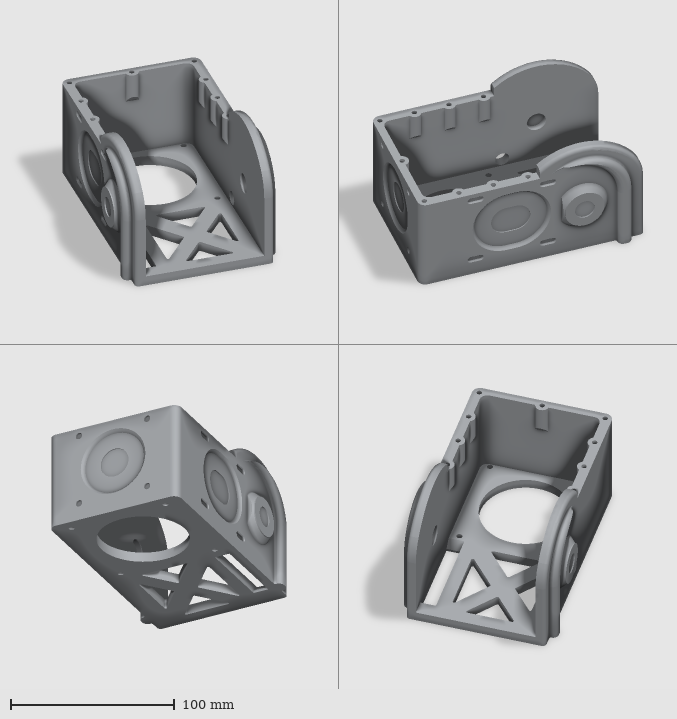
import cadquery as cq
import math

LENGTH = 145.16
WIDTH = 88.9
BOX_HEIGHT = 63.5
SIDE_WALL = 6.35
END_WALL = 5.08
FLOOR = 6.35
OUTER_CORNER_RADIUS = 5.08
INNER_CORNER_RADIUS = 4.8
OUTER_Y = WIDTH / 2
INNER_Y = OUTER_Y - SIDE_WALL
BEVEL_ANGLE = 45

AXLE_X = 105.1
AXLE_Z = 34.925
WING_START_X = 77.7
WING_RADIUS = 44.45
WING_CORNER_RADIUS = 25.4
WING_EDGE_ROUND = 2.54

RELIEF = 4.76
RIB_ROOT_RADIUS = 1.27
RIB_CREST_RADIUS = RELIEF - RIB_ROOT_RADIUS
RIB_OUTER_X = 136.25
RIB_OUTER_RADIUS = 29.75
RIB_OUTER_CENTRE_Z = 42.1
RIB_INNER_X = 127.3
RIB_INNER_RADIUS = 28.8
RIB_INNER_CENTRE_Z = 40.6
BOSS_TIP_RADIUS = 12.7
BOSS_TAPER = 4.0
BOSS_FLAT_X = 91.7
AXLE_HOLE_RADIUS = 6.35
AXLE_OUTER_DEPTH = 0.8
AXLE_INNER_DEPTH = 3.6
AXLE_INNER_CHAMFER = 0.4

SEAT_RADIUS = 22.225
SEAT_DEPTH = 2.1
SEAT_X = 59.5
SEAT_TRAVEL = 6.35
PILOT_RADIUS = 9.525
PILOT_DEPTH = 0.7
FASTENER_OFFSET = 23.45
FASTENER_DIAMETER = 4.3
FASTENER_DEPTH = 1.5
SLOT_CHAMFER = 0.5
ACCESS_DIAMETER = 9.0

SCREW_DIAMETER = 3.3
SCREW_DEPTH = 12.7
SCREW_START_X = 4.3
SCREW_PITCH = 22.4
SCREWS_PER_SIDE = 4
SCREW_Y = 40.1
POST_RADIUS = 4.3
POST_LENGTH = 15.4
POST_TAPER_DROP = 1.3

BORE_X = 39.7
BORE_DIAMETER = 57.15
FLOOR_HOLE_OFFSET = 32.35
FLOOR_HOLE_DIAMETER = 3.7
TRUSS_LEFT = 79.1
TRUSS_RIGHT = 136.2
TRUSS_BOTTOM = -19.4
TRUSS_TOP = 29.0
TRUSS_CORNER_RADIUS = 0.9
FALLING_BAR_WIDTH = 10.3
FALLING_BAR_START_Y = 29.3
FALLING_BAR_END_Y = -16.4
RISING_BAR_WIDTH = 12.2
RISING_BAR_START_Y = -18.6
RISING_BAR_END_Y = 30.4
BELT_SLOT_LEFT = 75.6
BELT_SLOT_RIGHT = 135.8
BELT_SLOT_WIDTH = 10.0
BELT_SLOT_SLOPE = 4.75


def block(x0, x1, y0, y1, z0, z1):
    """Axis-aligned box between two opposite corners."""
    return cq.Workplane("XY").box(x1 - x0, y1 - y0, z1 - z0, centered=False).translate((x0, y0, z0))


def side_plane(y):
    """Sketch plane at the given Y, local axes X and Z, normal toward -Y."""
    return cq.Workplane("XZ", origin=(0, y, 0))


def end_plane(x):
    """Sketch plane at the given X, local axes Y and Z, normal toward +X."""
    return cq.Workplane("YZ", origin=(x, 0, 0))


def mirrored(shape):
    """Copy on the opposite side wall."""
    return shape.mirror("XZ")


def box_shell():
    """Floor, closed end wall and two side walls up to the rim, open at the far end."""
    outside = block(0, LENGTH, -OUTER_Y, OUTER_Y, 0, BOX_HEIGHT)
    outside = outside.edges("|Z and <X").fillet(OUTER_CORNER_RADIUS)
    inside = block(END_WALL, LENGTH + END_WALL, -INNER_Y, INNER_Y, FLOOR, BOX_HEIGHT)
    inside = inside.edges("|Z and <X").fillet(INNER_CORNER_RADIUS)
    return outside.cut(inside)


def wing_wall():
    """The -Y side wall's rounded end, with its outer edge rolled over."""
    corner_x = LENGTH - WING_CORNER_RADIUS
    offset_x = corner_x - AXLE_X
    offset_z = math.sqrt((WING_RADIUS - WING_CORNER_RADIUS) ** 2 - offset_x**2)
    corner_z = AXLE_Z + offset_z
    blend_angle = math.atan2(offset_z, offset_x)
    blend = (AXLE_X + WING_RADIUS * math.cos(blend_angle), AXLE_Z + WING_RADIUS * math.sin(blend_angle))
    mid_corner = (
        corner_x + WING_CORNER_RADIUS * math.cos(blend_angle / 2),
        corner_z + WING_CORNER_RADIUS * math.sin(blend_angle / 2),
    )
    start_z = AXLE_Z + math.sqrt(WING_RADIUS**2 - (AXLE_X - WING_START_X) ** 2)
    wall = (
        side_plane(-INNER_Y)
        .moveTo(WING_START_X, 0)
        .lineTo(WING_START_X, start_z)
        .threePointArc((AXLE_X, AXLE_Z + WING_RADIUS), blend)
        .threePointArc(mid_corner, (LENGTH, corner_z))
        .lineTo(LENGTH, 0)
        .close()
        .extrude(SIDE_WALL)
    )
    outer_face = wall.faces("<Y")
    return outer_face.edges("not(#Z or <X)").fillet(WING_EDGE_ROUND)


def rib_flank(wall_radius, far_radius):
    """Closed half-profile of a rib: rounded crest, concave root, then solid out to far_radius.

    Local axes are the distance from the arc's centre and the height above the side wall.
    """
    outward = 1 if far_radius < wall_radius else -1
    bend = math.sqrt(0.5)
    root = wall_radius + outward * RIB_ROOT_RADIUS
    crest = wall_radius - outward * RIB_CREST_RADIUS
    return (
        cq.Workplane("XY")
        .moveTo(far_radius, 0)
        .lineTo(root, 0)
        .threePointArc(
            (root - outward * RIB_ROOT_RADIUS * bend, RIB_ROOT_RADIUS * (1 - bend)),
            (wall_radius, RIB_ROOT_RADIUS),
        )
        .threePointArc(
            (crest + outward * RIB_CREST_RADIUS * bend, RIB_ROOT_RADIUS + RIB_CREST_RADIUS * bend),
            (crest, RELIEF),
        )
        .lineTo(far_radius, RELIEF)
        .close()
    )


def rib_side(wall_x, wall_radius, centre_z, far_radius):
    """Everything on the solid side of one rib flank: a half-turn arch above a straight leg."""
    arch = rib_flank(wall_radius, far_radius).revolve(180, (0, 0, 0), (0, -1, 0))
    leg = rib_flank(wall_radius, far_radius).extrude(-centre_z)
    return arch.union(leg).mirror("XZ").translate((wall_x - wall_radius, -OUTER_Y, centre_z))


def rib():
    """Crescent arch with a straight leg, where the two flanks overlap."""
    outer = rib_side(RIB_OUTER_X, RIB_OUTER_RADIUS, RIB_OUTER_CENTRE_Z, 0)
    inner = rib_side(RIB_INNER_X, RIB_INNER_RADIUS, RIB_INNER_CENTRE_Z, WING_RADIUS)
    return outer.intersect(inner)


def axle_boss():
    """Tapered round boss with a short straight tip."""
    base_radius = BOSS_TIP_RADIUS + BOSS_TAPER
    profile = [
        (0, 0),
        (base_radius, 0),
        (BOSS_TIP_RADIUS, -BOSS_TAPER),
        (BOSS_TIP_RADIUS, -RELIEF),
        (0, -RELIEF),
    ]
    boss = cq.Workplane("XY").polyline(profile).close().revolve(360, (0, 0, 0), (0, 1, 0))
    return boss.translate((AXLE_X, -OUTER_Y, AXLE_Z))


def axle_holes():
    """Blind holes in the boss tip and in the inner face of the -Y wall, the inner one chamfered."""
    outer = side_plane(-OUTER_Y - RELIEF).center(AXLE_X, AXLE_Z).circle(AXLE_HOLE_RADIUS)
    outer = outer.extrude(-AXLE_OUTER_DEPTH)
    inside = side_plane(-INNER_Y).center(AXLE_X, AXLE_Z)
    inner = inside.circle(AXLE_HOLE_RADIUS - AXLE_INNER_CHAMFER).extrude(AXLE_INNER_DEPTH)
    mouth = inside.circle(AXLE_HOLE_RADIUS).extrude(AXLE_INNER_CHAMFER, taper=BEVEL_ANGLE)
    return outer.union(inner).union(mouth)


def side_seat():
    """Lengthened motor seat in the -Y wall, with four chamfered slots."""
    face = side_plane(-OUTER_Y).center(SEAT_X, AXLE_Z)
    seat_outline = face.slot2D(SEAT_TRAVEL + 2 * SEAT_RADIUS, 2 * SEAT_RADIUS)
    seat = seat_outline.extrude(-SEAT_DEPTH, taper=BEVEL_ANGLE)
    pilot_outline = face.slot2D(SEAT_TRAVEL + 2 * PILOT_RADIUS, 2 * PILOT_RADIUS)
    pilot = pilot_outline.extrude(-SEAT_DEPTH - PILOT_DEPTH)
    corners = face.rect(2 * FASTENER_OFFSET, 2 * FASTENER_OFFSET, forConstruction=True).vertices()
    slot_length = SEAT_TRAVEL + FASTENER_DIAMETER
    mouths = corners.slot2D(slot_length, FASTENER_DIAMETER).extrude(-SLOT_CHAMFER, taper=BEVEL_ANGLE)
    inset = 2 * SLOT_CHAMFER
    slots = corners.slot2D(slot_length - inset, FASTENER_DIAMETER - inset).extrude(-FASTENER_DEPTH)
    return seat.union(pilot).union(slots).union(mouths)


def end_seat():
    """Round motor seat in the closed end wall, with four blind holes."""
    face = end_plane(0).center(0, AXLE_Z)
    seat = face.circle(SEAT_RADIUS).extrude(SEAT_DEPTH, taper=BEVEL_ANGLE)
    pilot = face.circle(PILOT_RADIUS).extrude(SEAT_DEPTH + PILOT_DEPTH)
    holes = (
        face.rect(2 * FASTENER_OFFSET, 2 * FASTENER_OFFSET, forConstruction=True)
        .vertices()
        .circle(FASTENER_DIAMETER / 2)
        .extrude(FASTENER_DEPTH)
    )
    return seat.union(pilot).union(holes)


def access_hole():
    """Hole through the +Y wall in line with the seat's lower slot nearest the axle."""
    wall = side_plane(OUTER_Y).center(SEAT_X + FASTENER_OFFSET, AXLE_Z - FASTENER_OFFSET)
    return wall.circle(ACCESS_DIAMETER / 2).extrude(SIDE_WALL)


def side_screws():
    """Places of the screws along the -Y wall."""
    return [(SCREW_START_X + i * SCREW_PITCH, -SCREW_Y) for i in range(SCREWS_PER_SIDE)]


def all_screws():
    """Places of every lid screw: both side walls and the middle of the end wall."""
    near = side_screws()
    far = [(x, -y) for x, y in near]
    return near + far + [(SCREW_START_X, 0)]


def screw_post(x, y):
    """Half-round post beside one screw of the -Y wall; its lower end tapers back into the wall."""
    reach = y + POST_RADIUS
    taper_height = POST_TAPER_DROP * POST_RADIUS
    height = POST_LENGTH + taper_height
    post = cq.Workplane("XY", origin=(x, y, BOX_HEIGHT - height)).circle(POST_RADIUS).extrude(height)
    side = [
        (y, BOX_HEIGHT),
        (reach, BOX_HEIGHT),
        (reach, BOX_HEIGHT - POST_LENGTH),
        (y, BOX_HEIGHT - height),
    ]
    envelope = end_plane(x - POST_RADIUS).polyline(side).close().extrude(2 * POST_RADIUS)
    return post.intersect(envelope)


def screw_posts():
    """Posts for all screws but those in the box corners."""
    posts = cq.Workplane("XY")
    for x, y in side_screws()[1:]:
        post = screw_post(x, y)
        posts = posts.add(post).add(mirrored(post))
    end_post = screw_post(0, SCREW_START_X).rotate((0, 0, 0), (0, 0, 1), -90)
    return posts.add(end_post).combine()


def screw_holes():
    """Blind lid-screw holes sunk from the rim."""
    rim = cq.Workplane("XY", origin=(0, 0, BOX_HEIGHT))
    return rim.pushPoints(all_screws()).circle(SCREW_DIAMETER / 2).extrude(-SCREW_DEPTH)


def floor_bore():
    """Large round opening with four mounting holes around it."""
    floor = cq.Workplane("XY").center(BORE_X, 0)
    bore = floor.circle(BORE_DIAMETER / 2).extrude(FLOOR)
    holes = (
        floor.rect(2 * FLOOR_HOLE_OFFSET, 2 * FLOOR_HOLE_OFFSET, forConstruction=True)
        .vertices()
        .circle(FLOOR_HOLE_DIAMETER / 2)
        .extrude(FLOOR)
    )
    return bore.union(holes)


def truss_bar(start_y, end_y, width):
    """Straight bar across the truss opening from its left side to its right side."""
    run = TRUSS_RIGHT - TRUSS_LEFT
    rise = end_y - start_y
    middle = ((TRUSS_LEFT + TRUSS_RIGHT) / 2, (start_y + end_y) / 2, FLOOR / 2)
    bar = cq.Workplane("XY").box(2 * run, width, FLOOR)
    return bar.rotate((0, 0, 0), (0, 0, 1), math.degrees(math.atan2(rise, run))).translate(middle)


def truss_openings():
    """Four rounded triangles left between two crossing bars."""
    opening = block(TRUSS_LEFT, TRUSS_RIGHT, TRUSS_BOTTOM, TRUSS_TOP, 0, FLOOR)
    opening = opening.cut(truss_bar(FALLING_BAR_START_Y, FALLING_BAR_END_Y, FALLING_BAR_WIDTH))
    opening = opening.cut(truss_bar(RISING_BAR_START_Y, RISING_BAR_END_Y, RISING_BAR_WIDTH))
    return opening.edges("|Z").fillet(TRUSS_CORNER_RADIUS)


def belt_slot():
    """Slot through the floor beside the -Y wall, its ends bevelled at 45 degrees from above."""
    outline = [
        (BELT_SLOT_LEFT, FLOOR),
        (BELT_SLOT_RIGHT, FLOOR),
        (BELT_SLOT_RIGHT - BELT_SLOT_SLOPE, FLOOR - BELT_SLOT_SLOPE),
        (BELT_SLOT_RIGHT - BELT_SLOT_SLOPE, 0),
        (BELT_SLOT_LEFT + BELT_SLOT_SLOPE, 0),
        (BELT_SLOT_LEFT + BELT_SLOT_SLOPE, FLOOR - BELT_SLOT_SLOPE),
    ]
    return side_plane(-INNER_Y).polyline(outline).close().extrude(-BELT_SLOT_WIDTH)


raised = wing_wall().union(rib())
flattened_boss = axle_boss().intersect(
    block(BOSS_FLAT_X, LENGTH, -OUTER_Y - RELIEF, -OUTER_Y, 0, BOX_HEIGHT)
)
wing_zone = block(WING_START_X, LENGTH, -OUTER_Y, OUTER_Y, 0, BOX_HEIGHT)
wing_floor = block(WING_START_X, LENGTH, -INNER_Y, INNER_Y, 0, FLOOR)

result = box_shell().cut(wing_zone).union(wing_floor)
result = result.union(raised).union(mirrored(raised))
result = result.union(flattened_boss).union(mirrored(axle_boss()))
result = result.union(screw_posts())
result = result.cut(axle_holes()).cut(mirrored(axle_holes()))
result = result.cut(side_seat()).cut(end_seat()).cut(access_hole())
result = result.cut(screw_holes()).cut(floor_bore()).cut(truss_openings()).cut(belt_slot())